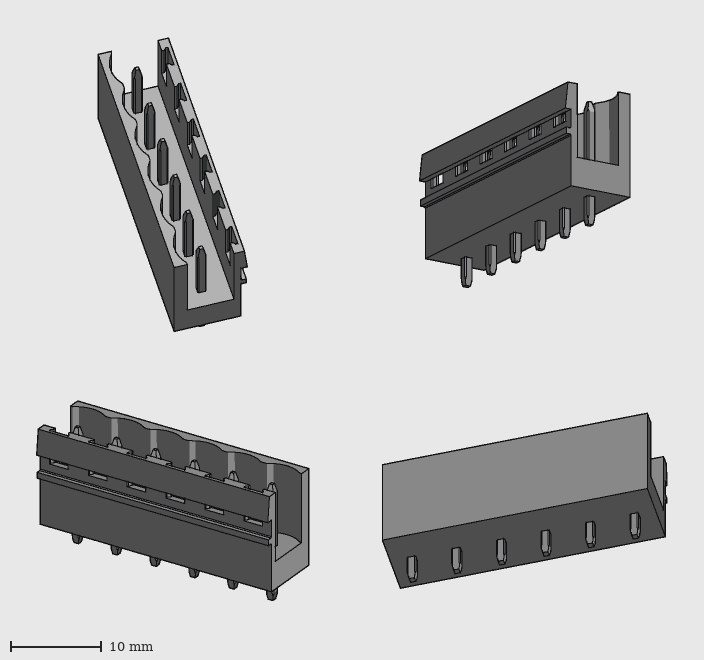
import cadquery as cq
import math

PIN_COUNT = 6
PITCH = 5.1

LENGTH = 30.28
HEIGHT = 12.0
FLOOR = 3.45
FRONT_WALL = 1.5
CHANNEL_WIDTH = 5.35
BACK_WALL = 0.8
CHANNEL_BACK = FRONT_WALL + CHANNEL_WIDTH
BACK_FACE = CHANNEL_BACK + BACK_WALL

LATCH_TIP = 8.42
LATCH_TOP = 8.08
LATCH_HEIGHT = 3.1
LATCH_BOTTOM = HEIGHT - LATCH_HEIGHT

RIB_REACH = 0.65
RIB_HEIGHT = 0.73
RIB_BOTTOM = 6.0
RIB_TOP = RIB_BOTTOM + RIB_HEIGHT
RIB_ROOT = 0.12

SCALLOP_DEPTH = 0.75
SCALLOP_RADIUS = 3.48
SCALLOP_EDGE_RADIUS = 0.6

SLOT_THROAT = 1.85
SLOT_WIDTH = 2.42
SLOT_DEPTH = BACK_WALL
SLOT_NECK = 0.27
SLOT_FLARE = 0.27
SLOT_HEIGHT = 4.18

PIN_SIZE = 1.0
PIN_CHAMFER = 0.15
PIN_Y = 3.8
PIN_TOP = HEIGHT - 0.9
PIN_BOTTOM = -3.2
PIN_LENGTH = PIN_TOP - PIN_BOTTOM
TOP_TIP_SIZE = 0.4
TOP_TIP_LENGTH = 1.27
BOTTOM_TIP_SIZE = 0.6
BOTTOM_TIP_LENGTH = 1.0

pin_positions = [(i - (PIN_COUNT - 1) / 2) * PITCH for i in range(PIN_COUNT)]


def make_profile_body():
    """U-shaped channel with latch and rib, extruded along X."""
    return (
        cq.Workplane("YZ", origin=(-LENGTH / 2, 0, 0))
        .moveTo(0, 0)
        .lineTo(BACK_FACE, 0)
        .lineTo(BACK_FACE, RIB_BOTTOM - RIB_ROOT)
        .lineTo(BACK_FACE + RIB_ROOT, RIB_BOTTOM)
        .lineTo(BACK_FACE + RIB_REACH, RIB_BOTTOM)
        .lineTo(BACK_FACE + RIB_REACH, RIB_TOP)
        .lineTo(BACK_FACE + RIB_ROOT, RIB_TOP)
        .lineTo(BACK_FACE, RIB_TOP + RIB_ROOT)
        .lineTo(BACK_FACE, LATCH_BOTTOM)
        .lineTo(LATCH_TIP, LATCH_BOTTOM)
        .lineTo(LATCH_TOP, HEIGHT)
        .lineTo(CHANNEL_BACK, HEIGHT)
        .lineTo(CHANNEL_BACK, FLOOR)
        .lineTo(FRONT_WALL, FLOOR)
        .lineTo(FRONT_WALL, HEIGHT)
        .lineTo(0, HEIGHT)
        .close()
        .extrude(LENGTH)
    )


def make_scallop(x):
    """Shallow hollow in the front wall whose two rims are rounded over."""
    center_y = FRONT_WALL - SCALLOP_DEPTH + SCALLOP_RADIUS
    edge_y = FRONT_WALL - SCALLOP_EDGE_RADIUS
    center_distance = SCALLOP_RADIUS + SCALLOP_EDGE_RADIUS
    edge_x = math.sqrt(center_distance**2 - (center_y - edge_y) ** 2)
    rim_angle = math.asin(edge_x / center_distance)
    touch_x = SCALLOP_RADIUS * math.sin(rim_angle)
    touch_y = center_y - SCALLOP_RADIUS * math.cos(rim_angle)
    rim_x = edge_x - SCALLOP_EDGE_RADIUS * math.sin(rim_angle / 2)
    rim_y = edge_y + SCALLOP_EDGE_RADIUS * math.cos(rim_angle / 2)
    return (
        cq.Workplane("XY", origin=(x, 0, FLOOR))
        .moveTo(-edge_x, FRONT_WALL)
        .threePointArc((-rim_x, rim_y), (-touch_x, touch_y))
        .threePointArc((0, FRONT_WALL - SCALLOP_DEPTH), (touch_x, touch_y))
        .threePointArc((rim_x, rim_y), (edge_x, FRONT_WALL))
        .close()
        .extrude(HEIGHT - FLOOR)
    )


def make_slot(x):
    """Dovetail slot, open at the top and into the channel."""
    neck_y = CHANNEL_BACK + SLOT_NECK
    flare_y = neck_y + SLOT_FLARE
    end_y = CHANNEL_BACK + SLOT_DEPTH
    return (
        cq.Workplane("XY", origin=(x, 0, HEIGHT - SLOT_HEIGHT))
        .moveTo(-SLOT_THROAT / 2, CHANNEL_BACK)
        .lineTo(-SLOT_THROAT / 2, neck_y)
        .lineTo(-SLOT_WIDTH / 2, flare_y)
        .lineTo(-SLOT_WIDTH / 2, end_y)
        .lineTo(SLOT_WIDTH / 2, end_y)
        .lineTo(SLOT_WIDTH / 2, flare_y)
        .lineTo(SLOT_THROAT / 2, neck_y)
        .lineTo(SLOT_THROAT / 2, CHANNEL_BACK)
        .close()
        .extrude(SLOT_HEIGHT)
    )


def make_pin_bar(x):
    """Full-length square bar with chamfered long edges."""
    return (
        cq.Workplane("XY", origin=(x, PIN_Y, PIN_BOTTOM))
        .rect(PIN_SIZE, PIN_SIZE)
        .extrude(PIN_LENGTH)
        .edges("|Z")
        .chamfer(PIN_CHAMFER)
    )


def make_pin_envelope(x):
    """Square bar tapered at both ends."""
    shank_bottom = PIN_BOTTOM + BOTTOM_TIP_LENGTH
    shank_top = PIN_TOP - TOP_TIP_LENGTH
    bottom_tip = (
        cq.Workplane("XY", origin=(x, PIN_Y, PIN_BOTTOM))
        .rect(BOTTOM_TIP_SIZE, BOTTOM_TIP_SIZE)
        .workplane(offset=BOTTOM_TIP_LENGTH)
        .rect(PIN_SIZE, PIN_SIZE)
        .loft(ruled=True)
    )
    shank = (
        cq.Workplane("XY", origin=(x, PIN_Y, shank_bottom))
        .rect(PIN_SIZE, PIN_SIZE)
        .extrude(shank_top - shank_bottom)
    )
    top_tip = (
        cq.Workplane("XY", origin=(x, PIN_Y, shank_top))
        .rect(PIN_SIZE, PIN_SIZE)
        .workplane(offset=TOP_TIP_LENGTH)
        .rect(TOP_TIP_SIZE, TOP_TIP_SIZE)
        .loft(ruled=True)
    )
    return shank.union(bottom_tip).union(top_tip)


def make_pin(x):
    """Chamfered pin with a pyramid-shaped point at each end."""
    return make_pin_bar(x).intersect(make_pin_envelope(x))


def make_housing():
    """Channel housing with scallops, dovetail slots and pin holes."""
    housing = make_profile_body()
    for x in pin_positions:
        housing = housing.cut(make_scallop(x))
        housing = housing.cut(make_slot(x))
        housing = housing.cut(make_pin_bar(x))
    return housing


housing = make_housing()
pins = [make_pin(x).val() for x in pin_positions]

result = cq.Compound.makeCompound([housing.val(), *pins])